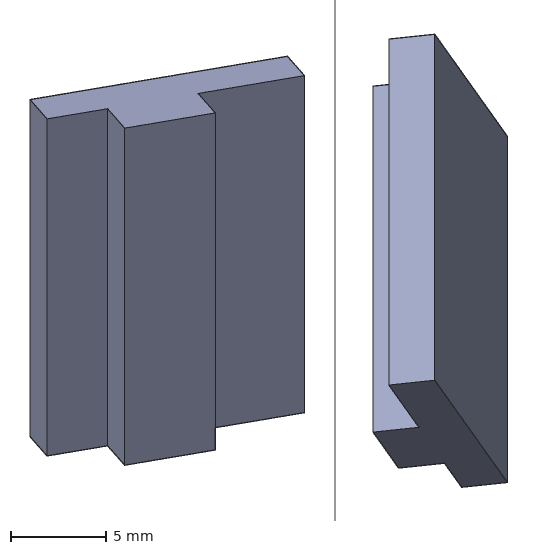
import cadquery as cq

height = 19.7
plate_width = 14.5
plate_thickness = 2.5
rib_depth = 2.5
rib_width = 5.1
rib_offset = 3.4

plate = cq.Workplane("XY").box(plate_thickness, plate_width, height, centered=False)

rib = (
    cq.Workplane("XY")
    .box(rib_depth, rib_width, height, centered=False)
    .translate((plate_thickness, rib_offset, 0))
)

result = plate.union(rib)